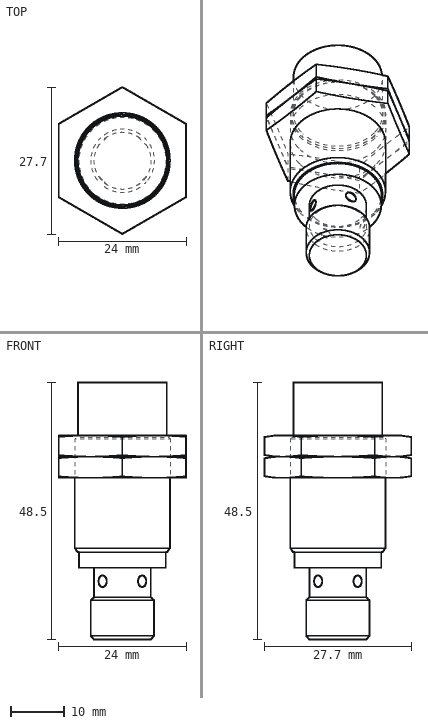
import cadquery as cq
import math

total_height = 48.5
collar_lower_chamfer = 0.75
collar_rim_z = 7.4
collar_top_z = 8.0
cap_bottom_z = 13.55
barrel_bottom_z = 16.5
barrel_chamfer_height = 0.8
nut_count = 2
nut_stack_top_z = 38.5
nut_stack_bottom_z = 30.5
nut_height = (nut_stack_top_z - nut_stack_bottom_z) / nut_count

neck_diameter = 10.75
collar_diameter = 12.0
cap_diameter = 16.4
barrel_diameter = 18.0
barrel_end_diameter = 16.95
head_diameter = 16.8
barrel_top_chamfer = (barrel_diameter - head_diameter) / 2

dimple_diameter = 2.2
dimple_floor_radius = 5.25
dimple_z = 11.0
dimple_count = 4
dimple_first_angle = 45.0

nut_across_flats = 24.0
nut_across_corners = nut_across_flats / math.cos(math.radians(30))
nut_face_diameter = 23.75
nut_corner_drop = 0.3
nut_bore_diameter = 16.95
nut_bore_chamfer = (barrel_diameter - nut_bore_diameter) / 2


def make_sensor():
    """Turned sensor body: collar, neck, cap, barrel and sensing head."""
    neck_radius = neck_diameter / 2
    collar_radius = collar_diameter / 2
    cap_radius = cap_diameter / 2
    barrel_radius = barrel_diameter / 2
    barrel_end_radius = barrel_end_diameter / 2
    head_radius = head_diameter / 2
    half_profile = [
        (0, 0),
        (neck_radius, 0),
        (collar_radius, collar_lower_chamfer),
        (collar_radius, collar_rim_z),
        (neck_radius, collar_top_z),
        (neck_radius, cap_bottom_z),
        (cap_radius, cap_bottom_z),
        (cap_radius, barrel_bottom_z),
        (barrel_end_radius, barrel_bottom_z),
        (barrel_radius, barrel_bottom_z + barrel_chamfer_height),
        (barrel_radius, nut_stack_top_z - barrel_top_chamfer),
        (head_radius, nut_stack_top_z),
        (head_radius, total_height),
        (0, total_height),
    ]
    body = cq.Workplane("XZ").polyline(half_profile).close().revolve(360, (0, 0), (0, 1))
    for index in range(dimple_count):
        body = body.cut(make_dimple_cutter(dimple_first_angle + index * 360 / dimple_count))
    return body


def make_dimple_cutter(angle):
    """Radial cylinder that leaves a flat-bottomed dimple in the neck."""
    return (
        cq.Workplane("YZ", origin=(dimple_floor_radius, 0, dimple_z))
        .circle(dimple_diameter / 2)
        .extrude(collar_diameter / 2 - dimple_floor_radius)
        .rotate((0, 0, 0), (0, 0, 1), angle)
    )


def make_nut(bottom_z, sensor_body):
    """Hexagon nut with corners along Y, bevelled on both faces and fitted to the sensor body."""
    face_radius = nut_face_diameter / 2
    corner_radius = nut_across_corners / 2
    bevel_profile = [
        (0, 0),
        (face_radius, 0),
        (corner_radius, nut_corner_drop),
        (corner_radius, nut_height - nut_corner_drop),
        (face_radius, nut_height),
        (0, nut_height),
    ]
    bevel_envelope = cq.Workplane("XZ").polyline(bevel_profile).close().revolve(360, (0, 0), (0, 1))
    hexagon = (
        cq.Workplane("XY")
        .polygon(6, nut_across_corners)
        .extrude(nut_height)
        .rotate((0, 0, 0), (0, 0, 1), 90)
    )
    blank = hexagon.intersect(bevel_envelope).cut(make_bore_cutter())
    return blank.translate((0, 0, bottom_z)).cut(sensor_body)


def make_bore_cutter():
    """Nut bore, chamfered out to the barrel diameter at both ends."""
    bore_radius = nut_bore_diameter / 2
    mouth_radius = barrel_diameter / 2
    bore_profile = [
        (0, 0),
        (mouth_radius, 0),
        (bore_radius, nut_bore_chamfer),
        (bore_radius, nut_height - nut_bore_chamfer),
        (mouth_radius, nut_height),
        (0, nut_height),
    ]
    return cq.Workplane("XZ").polyline(bore_profile).close().revolve(360, (0, 0), (0, 1))


sensor = make_sensor()
nuts = [make_nut(nut_stack_bottom_z + index * nut_height, sensor) for index in range(nut_count)]

result = cq.Compound.makeCompound([sensor.solids().val(), *[nut.solids().val() for nut in nuts]])